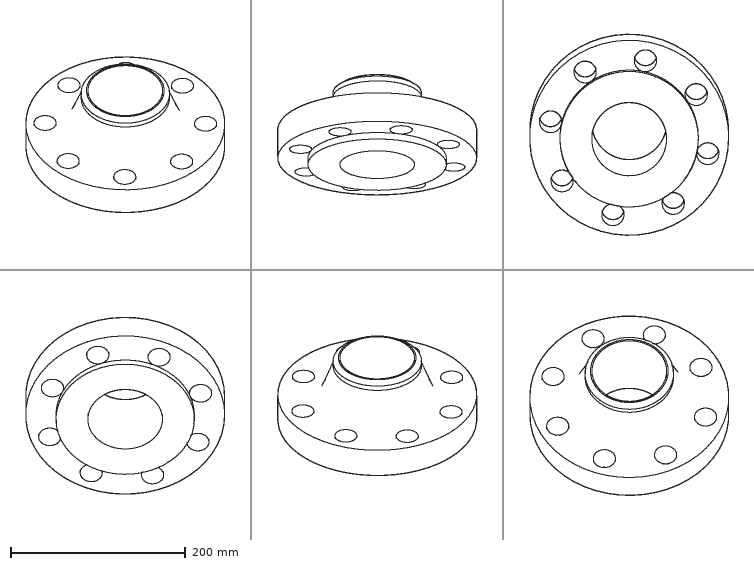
import cadquery as cq

flange_diameter = 228.5
flange_thickness = 35.2
face_diameter = 158.8
face_height = 8.0

total_height = 93.7
hub_base_diameter = 131.9
weld_diameter = 101.7
weld_land_height = 6.0
bevel_height = 4.5
root_face_diameter = 89.1
root_fillet_radius = 3.0
bore_diameter = 85.7

bolt_count = 8
bolt_circle_diameter = 184.2
bolt_hole_diameter = 25.4

flange_top = face_height + flange_thickness
bevel_start = total_height - bevel_height
taper_end = bevel_start - weld_land_height


def make_body():
    """Revolve the half section, with Z = 0 on the raised face."""
    section = (
        cq.Workplane("XZ")
        .moveTo(bore_diameter / 2, 0)
        .lineTo(face_diameter / 2, 0)
        .lineTo(face_diameter / 2, face_height)
        .lineTo(flange_diameter / 2, face_height)
        .lineTo(flange_diameter / 2, flange_top)
        .lineTo(hub_base_diameter / 2, flange_top)
        .lineTo(weld_diameter / 2, taper_end)
        .lineTo(weld_diameter / 2, bevel_start)
        .lineTo(root_face_diameter / 2, total_height)
        .lineTo(bore_diameter / 2, total_height)
        .close()
    )
    return section.revolve(360, (0, 0, 0), (0, 1, 0))


def round_hub_root(body):
    """Blend the hub into the top of the flange."""
    reach = hub_base_diameter / 2 + root_fillet_radius
    root_edge = cq.selectors.BoxSelector(
        (-reach, -reach, flange_top - root_fillet_radius),
        (reach, reach, flange_top + root_fillet_radius),
        boundingbox=True,
    )
    return body.edges(root_edge).fillet(root_fillet_radius)


def make_bolt_holes():
    return (
        cq.Workplane("XY")
        .polarArray(bolt_circle_diameter / 2, 0, 360, bolt_count)
        .circle(bolt_hole_diameter / 2)
        .extrude(flange_top)
    )


result = round_hub_root(make_body()).cut(make_bolt_holes())